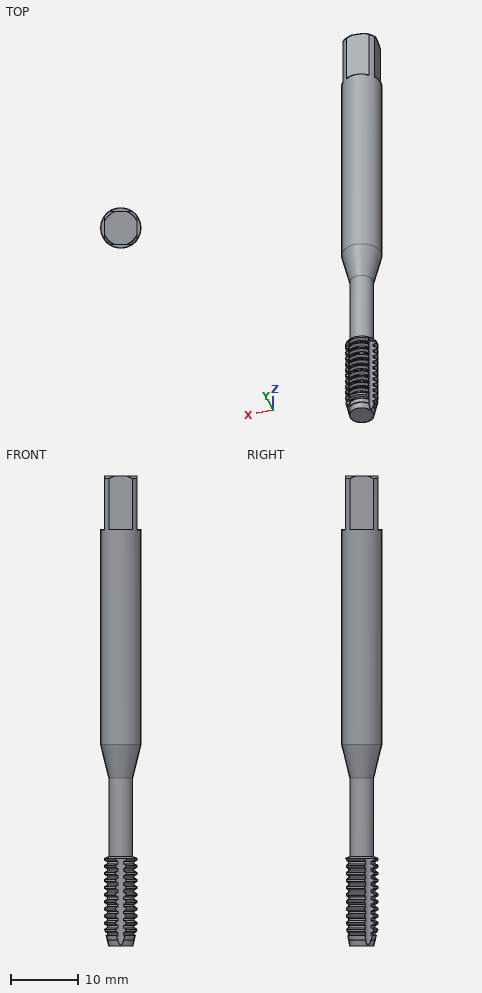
import cadquery as cq
import math

total_length = 70.0
square_length = 8.0
shank_bottom = 30.0
cone_length = 5.0
thread_length = 13.3

shank_radius = 3.0
neck_radius = 1.78
square_width = 4.9
relief_width = 3 * shank_radius
end_chamfer = 0.4

pitch = 25.4 / 24
crest_radius = 4.826 / 2
root_radius = 2.0
crest_flat = pitch / 4
flank_angle = 30.0
flank_height = (crest_radius - root_radius) * math.tan(math.radians(flank_angle))
root_flat = pitch - crest_flat - 2 * flank_height
ring_count = math.ceil(thread_length / pitch)

tip_radius = 1.8
lead_length = 2.6

flute_angles = (-90, 30, 150)
flute_radius = 0.95
flute_floor = 1.84
flute_length = thread_length - flank_height


def make_shank():
    """Neck, cone and shank, with the driving square on the top end."""
    profile = (
        cq.Workplane("XZ")
        .moveTo(0, thread_length)
        .lineTo(neck_radius, thread_length)
        .lineTo(neck_radius, shank_bottom - cone_length)
        .lineTo(shank_radius, shank_bottom)
        .lineTo(shank_radius, total_length - end_chamfer)
        .lineTo(shank_radius - end_chamfer, total_length)
        .lineTo(0, total_length)
        .close()
    )
    body = profile.revolve(360, (0, 0, 0), (0, 1, 0))
    square_relief = (
        cq.Workplane("XY", origin=(0, 0, total_length - square_length))
        .rect(relief_width, relief_width)
        .rect(square_width, square_width)
        .extrude(square_length)
    )
    return body.cut(square_relief)


def make_toothed_bar():
    """Revolved bar with ring teeth; a shallow cone leads from the neck out to the first crest."""
    profile = cq.Workplane("XZ").moveTo(0, thread_length).lineTo(neck_radius, thread_length)
    for ring in range(ring_count):
        upper_crest = thread_length - ring * pitch - flank_height
        lower_crest = upper_crest - crest_flat
        lower_root = lower_crest - flank_height
        profile = (
            profile.lineTo(crest_radius, upper_crest)
            .lineTo(crest_radius, lower_crest)
            .lineTo(root_radius, lower_root)
            .lineTo(root_radius, lower_root - root_flat)
        )
    bar_bottom = thread_length - ring_count * pitch
    profile = profile.lineTo(0, bar_bottom).close()
    return profile.revolve(360, (0, 0, 0), (0, 1, 0))


def make_lead_envelope():
    """Outer limit of the thread: a cone over the lead, then a cylinder."""
    return (
        cq.Workplane("XZ")
        .lineTo(tip_radius, 0)
        .lineTo(crest_radius, lead_length)
        .lineTo(crest_radius, thread_length)
        .lineTo(0, thread_length)
        .close()
        .revolve(360, (0, 0, 0), (0, 1, 0))
    )


def make_thread():
    """Thread section with its tapered lead and round-bottomed flutes."""
    body = make_toothed_bar().intersect(make_lead_envelope())
    flute = (
        cq.Workplane("XY")
        .center(flute_floor + flute_radius, 0)
        .circle(flute_radius)
        .extrude(flute_length)
    )
    for angle in flute_angles:
        body = body.cut(flute.rotate((0, 0, 0), (0, 0, 1), angle))
    return body


shank = make_shank()
thread = make_thread()

result = cq.Compound.makeCompound([*shank.solids().vals(), *thread.solids().vals()])